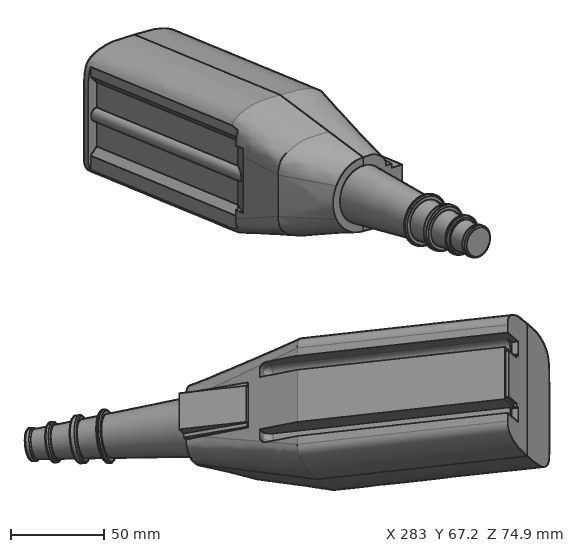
import cadquery as cq
import math

taper_start = 119.7
nose_start = 160.0
housing_end = 188.2
total_length = 283.0

body_half_height = 37.4
end_half_height = 21.2
back_depth = 31.5
back_end_depth = 16.5
front_depth = 35.7
back_flat = 27.2
back_end_flat = 10.0
front_flat_top = 15.0
front_flat_bottom = 25.0
nose_flat = 12.0
end_face_angle = 27
taper_slope = (body_half_height - end_half_height) / (housing_end - taper_start)
nose_half_height = body_half_height - taper_slope * (nose_start - taper_start)
crown_share = (0.5, 0.985)
round_corner_share = (0.86, 0.86)
square_corner_share = (0.86, 0.9)
nose_corner_share = (0.84, 0.82)
back_end_corner_share = (0.84, 0.84)

panel_start = 3.7
panel_end = 124.8
panel_depth = 1.7
trough_depth = 4.2
trough_half_width = 18.5
trough_end = 119.7
ramp_end = 131.0
rib_radius = 4.0

slot_inner = 14.7
slot_outer = 22.5
slot_mouth_length = 3.7
slot_mouth_floor = 14.7
slot_floor = 17.0
slot_corner_radius = 4.2
slot_end = 143.0
tongue_step = 1.7
tongue_half_width = slot_inner - tongue_step
latch_start = 150.0
latch_top = 27.7
latch_half_width = 10.2
pad_half_width = 12.5
pad_start_y = 26.3
pad_end_y = 20.0

sleeve_start_radius = 16.5
sleeve_tip_radius = 8.0
ring_diameters = [29.1, 26.0, 22.0]
ring_widths = [2.5, 4.0, 3.0]
first_ring_x = 239.0
ring_spacing = 15.0
tip_ring_radius = 9.0
tip_ring_width = 3.7
ring_bevel = 0.8


def half_section(x, depth, half_height, flat_top, flat_bottom, top_corner, bottom_corner):
    """Half of a crowned, rounded rectangle at station x; the sign of depth picks the side of Y = 0."""
    side = 1 if depth > 0 else -1

    def corner(share, z_side, flat):
        crown, shoulder = [
            cq.Vector(x, part_y * depth, z_side * part_z * half_height) for part_y, part_z in (crown_share, share)
        ]
        return cq.Edge.makeSpline(
            [cq.Vector(x, 0, z_side * half_height), crown, shoulder, cq.Vector(x, depth, z_side * flat)],
            tangents=[cq.Vector(0, side, 0), cq.Vector(0, 0, -z_side)],
        )

    top = corner(top_corner, 1, flat_top)
    flat = cq.Edge.makeLine(cq.Vector(x, depth, flat_top), cq.Vector(x, depth, -flat_bottom))
    bottom = corner(bottom_corner, -1, flat_bottom)
    seam = cq.Edge.makeLine(cq.Vector(x, 0, -half_height), cq.Vector(x, 0, half_height))
    return cq.Wire.assembleEdges([top, flat, bottom, seam])


def half_round_section(x, radius):
    """Semicircle on the -Y side at station x, in three arcs to match the corners and flat of half_section."""
    def on_circle(degrees):
        angle = math.radians(degrees)
        return cq.Vector(x, -radius * math.cos(angle), radius * math.sin(angle))

    arc_limits = [(90, end_face_angle), (end_face_angle, -end_face_angle), (-end_face_angle, -90)]
    arcs = [
        cq.Edge.makeThreePointArc(on_circle(start), on_circle((start + stop) / 2), on_circle(stop))
        for start, stop in arc_limits
    ]
    seam = cq.Edge.makeLine(cq.Vector(x, 0, -radius), cq.Vector(x, 0, radius))
    return cq.Wire.assembleEdges([*arcs, seam])


def shell_through(sections):
    """Solid with straight walls running from each section to the next."""
    return cq.Workplane(obj=cq.Solid.makeLoft(sections, True))


def prism_z(points, z_low, z_high):
    """Polygon in XY, extruded from z_low to z_high."""
    return cq.Workplane("XY").workplane(offset=z_low).polyline(points).close().extrude(z_high - z_low)


def block(x_range, y_range, z_range):
    """Axis-aligned box between the given limits."""
    (x0, x1), (y0, y1), (z0, z1) = x_range, y_range, z_range
    return cq.Workplane(obj=cq.Solid.makeBox(x1 - x0, y1 - y0, z1 - z0, cq.Vector(x0, y0, z0)))


def make_grip_cut():
    """Shallow panel with a sloped-sided trough that runs out up a ramp."""
    panel_y = -front_depth + panel_depth
    floor_y = panel_y + trough_depth
    rim_half_width = trough_half_width + trough_depth
    panel = block((panel_start, panel_end), (-front_depth, panel_y), (-body_half_height, body_half_height))
    ramp = prism_z(
        [(panel_start, -front_depth), (panel_start, floor_y), (trough_end, floor_y), (ramp_end, -front_depth)],
        -trough_half_width, trough_half_width,
    )
    sloped_sides = (
        cq.Workplane("YZ").workplane(offset=panel_start)
        .polyline([
            (panel_y, rim_half_width), (floor_y, trough_half_width),
            (floor_y, -trough_half_width), (panel_y, -rim_half_width),
        ])
        .close().extrude(panel_end - panel_start)
    )
    sloped_end = prism_z(
        [(panel_start, panel_y), (panel_start, floor_y), (trough_end, floor_y), (panel_end, panel_y)],
        -rim_half_width, rim_half_width,
    )
    return panel.union(ramp).union(sloped_sides.intersect(sloped_end))


def make_rib():
    """Half-round rib along the middle of the trough, ending inside the ramp."""
    floor_y = -front_depth + panel_depth + trough_depth
    return (
        cq.Workplane("YZ").workplane(offset=panel_start).center(floor_y, 0)
        .circle(rib_radius).extrude(ramp_end - panel_start)
    )


def make_front_half():
    rounded_box = (-front_depth, body_half_height, front_flat_top, front_flat_bottom)
    corners = (round_corner_share, square_corner_share)
    body = half_section(0, *rounded_box, *corners)
    shoulder = half_section(taper_start, *rounded_box, *corners)
    nose = half_section(
        nose_start, -front_depth, nose_half_height, nose_flat, nose_flat, nose_corner_share, nose_corner_share
    )
    end = half_round_section(housing_end, end_half_height)
    return shell_through([body, shoulder, nose, end]).cut(make_grip_cut()).union(make_rib())


def make_slot_cut():
    """Upper slot: a square mouth, then a channel with a rounded outer corner and end."""
    mouth = block((0, slot_mouth_length), (slot_mouth_floor, back_depth), (slot_inner, slot_outer))
    channel = (
        block((0, slot_end), (slot_floor, back_depth), (slot_inner, slot_outer))
        .edges("(|X and <Y and >Z) or (>X and >Z) or (>X and <Y)").fillet(slot_corner_radius)
    )
    return mouth.union(channel)


def make_tongue_step_cut():
    """Step around the front end of the tongue between the slots."""
    full = block((0, tongue_step), (slot_floor, back_depth), (-slot_inner, slot_inner))
    core = block(
        (0, tongue_step), (slot_floor, back_depth - tongue_step), (-tongue_half_width, tongue_half_width)
    )
    return full.cut(core)


def make_latch():
    """Flat bar on a slightly wider wedge pad, both rising from the tapered back."""
    bar = block((latch_start, housing_end), (0, latch_top), (-latch_half_width, latch_half_width))
    pad = prism_z(
        [(latch_start, 0), (latch_start, pad_start_y), (housing_end, pad_end_y), (housing_end, 0)],
        -pad_half_width, pad_half_width,
    )
    return bar.union(pad)


def make_back_half():
    rounded_box = (back_depth, body_half_height, back_flat, back_flat, square_corner_share, square_corner_share)
    body = half_section(0, *rounded_box)
    shoulder = half_section(taper_start, *rounded_box)
    end = half_section(
        housing_end, back_end_depth, end_half_height, back_end_flat, back_end_flat,
        back_end_corner_share, back_end_corner_share,
    )
    upper_slot = make_slot_cut()
    return (
        shell_through([body, shoulder, end])
        .cut(upper_slot)
        .cut(upper_slot.mirror("XY"))
        .cut(make_tongue_step_cut())
        .union(make_latch())
    )


def make_ring(center_x, width, radius):
    """Disc on the X axis with bevelled rims."""
    return (
        cq.Workplane("YZ").workplane(offset=center_x - width / 2)
        .circle(radius).extrude(width).edges().chamfer(ring_bevel)
    )


def make_sleeve():
    sleeve = cq.Workplane(obj=cq.Solid.makeCone(
        sleeve_start_radius, sleeve_tip_radius, total_length - housing_end,
        cq.Vector(housing_end, 0, 0), cq.Vector(1, 0, 0),
    ))
    for index, (diameter, width) in enumerate(zip(ring_diameters, ring_widths)):
        sleeve = sleeve.union(make_ring(first_ring_x + index * ring_spacing, width, diameter / 2))
    return sleeve.union(make_ring(total_length - tip_ring_width / 2, tip_ring_width, tip_ring_radius))


front_half = make_front_half()
back_half = make_back_half()
sleeve = make_sleeve()

result = cq.Compound.makeCompound([front_half.val(), back_half.val(), sleeve.val()])